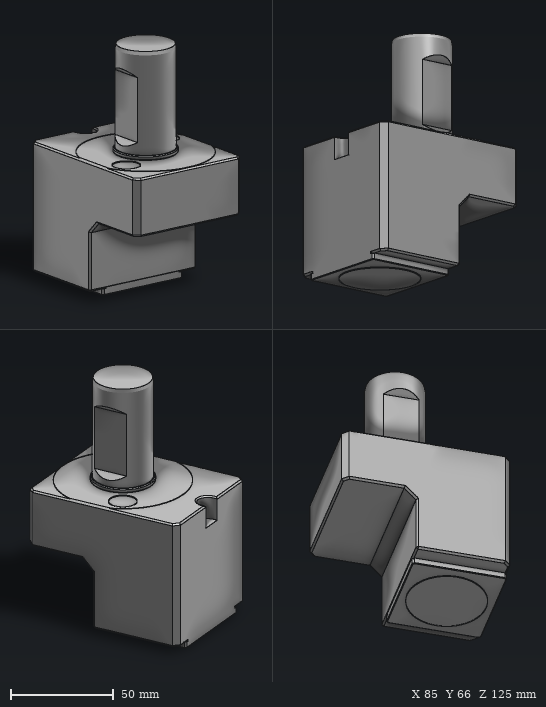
import cadquery as cq
import math

body_left = -50.0
body_right = 35.0
body_width = 66.0
body_bottom = 3.8
body_top = 69.9
column_right = -2.0
overhang_bottom = 39.9
undercut_chamfer = 6.0
corner_chamfer = 3.0
edge_chamfer = 1.0
top_edge_chamfer = 1.1

pad_diameter = 68.0
relief_depth = 0.2
relief_floor = body_top - relief_depth
recess_diameter = 14.0
recess_depth = 0.5
recess_circle_radius = 25.0
first_recess_angle = 120.0

notch_width = 10.9
notch_centre_x = body_left + 2.1
notch_floor = 57.5
notch_chamfer = 0.8

shank_diameter = 30.0
shank_top = 125.0
tip_diameter = 29.1
tip_height = 2.0
collar_diameter = 32.0
collar_top = 72.2
collar_chamfer = 0.5
flat_spacing = 24.0
flat_bottom = 78.6
flat_top = 111.6

plate_length = 47.8
plate_width = 49.5
plate_bottom = 0.5
plate_corner_chamfer = 1.0
plate_edge_chamfer = 0.4
plate_centre_x = body_left + plate_length / 2
lug_width = 45.5
disc_diameter = 40.0


def horizontal_plane(z):
    return cq.Workplane("XY", origin=(0, 0, z))


def make_body():
    body = (
        cq.Workplane("XZ")
        .moveTo(body_left, body_bottom)
        .lineTo(column_right, body_bottom)
        .lineTo(column_right, overhang_bottom - undercut_chamfer)
        .lineTo(column_right + undercut_chamfer, overhang_bottom)
        .lineTo(body_right, overhang_bottom)
        .lineTo(body_right, body_top)
        .lineTo(body_left, body_top)
        .close()
        .extrude(body_width / 2, both=True)
    )
    body = body.edges("|Z and (<X or >X)").chamfer(corner_chamfer)
    body = body.faces(">Z").edges().chamfer(top_edge_chamfer)

    margin = 0.1
    undercut_box = cq.selectors.BoxSelector(
        (column_right - margin, -body_width, body_bottom),
        (body_right - margin, body_width, overhang_bottom + margin),
    )
    undercut_edges = body.edges(undercut_box).edges("not |Y")
    end_edge = body.faces(">X").edges("<Z")
    lower_edges = body.faces("<Z").edges().add(undercut_edges).add(end_edge)
    return lower_edges.chamfer(edge_chamfer)


def make_top_relief():
    """Cutter for the lowered top around the pad and for the two recesses in the pad."""
    block_size = 2 * (body_right - body_left)
    block = horizontal_plane(relief_floor).rect(block_size, block_size).extrude(relief_depth)
    pad = horizontal_plane(relief_floor).circle(pad_diameter / 2).extrude(relief_depth)
    recesses = (
        horizontal_plane(body_top - recess_depth)
        .polarArray(recess_circle_radius, first_recess_angle, 360, 2)
        .circle(recess_diameter / 2)
        .extrude(recess_depth)
    )
    return block.cut(pad).union(recesses)


def notch_outline(floor):
    """Round-ended outline that runs out past the -X face."""
    radius = notch_width / 2
    open_end_x = body_left - notch_width
    return (
        horizontal_plane(floor)
        .moveTo(open_end_x, -radius)
        .lineTo(notch_centre_x, -radius)
        .threePointArc((notch_centre_x + radius, 0), (notch_centre_x, radius))
        .lineTo(open_end_x, radius)
        .close()
    )


def make_notch_cutter():
    slot = notch_outline(notch_floor).extrude(relief_floor - notch_floor)
    bevel = notch_outline(relief_floor - notch_chamfer).extrude(notch_chamfer, taper=-45)
    return slot.union(bevel)


def make_shank():
    tip_radius = tip_diameter / 2
    shank_radius = shank_diameter / 2
    collar_radius = collar_diameter / 2
    shank = (
        cq.Workplane("XZ")
        .moveTo(0, body_top)
        .lineTo(collar_radius - collar_chamfer, body_top)
        .lineTo(collar_radius, body_top + collar_chamfer)
        .lineTo(collar_radius, collar_top - collar_chamfer)
        .lineTo(collar_radius - collar_chamfer, collar_top)
        .lineTo(shank_radius, collar_top)
        .lineTo(shank_radius, shank_top - tip_height)
        .lineTo(tip_radius, shank_top)
        .lineTo(0, shank_top)
        .close()
        .revolve(360, (0, 0, 0), (0, 1, 0))
    )

    flat_depth = (shank_diameter - flat_spacing) / 2
    for side in (-1, 1):
        flat_y = side * flat_spacing / 2
        outer_y = side * shank_radius
        flat_cutter = (
            cq.Workplane("YZ")
            .moveTo(flat_y, flat_bottom)
            .lineTo(outer_y, flat_bottom - flat_depth)
            .lineTo(outer_y, flat_top + flat_depth)
            .lineTo(flat_y, flat_top)
            .close()
            .extrude(shank_radius, both=True)
        )
        shank = shank.cut(flat_cutter)
    return shank


def make_cover_plate():
    plate = (
        horizontal_plane(plate_bottom)
        .center(plate_centre_x, 0)
        .rect(plate_length, plate_width)
        .extrude(body_bottom - plate_bottom)
        .edges("|Z")
        .chamfer(plate_corner_chamfer)
        .faces("<Z")
        .edges()
        .chamfer(plate_edge_chamfer)
    )
    lug = (
        horizontal_plane(body_bottom)
        .center(plate_centre_x, 0)
        .rect(plate_length, lug_width)
        .extrude(edge_chamfer)
    )
    disc = horizontal_plane(0).center(plate_centre_x, 0).circle(disc_diameter / 2).extrude(plate_bottom)
    return plate.union(lug).union(disc)


body = make_body().cut(make_top_relief()).cut(make_notch_cutter())
result = body.union(make_shank()).union(make_cover_plate())